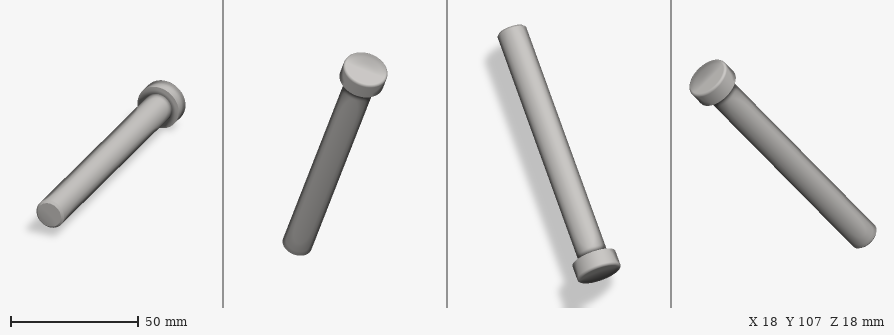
import cadquery as cq

total_length = 107.0
head_diameter = 18.0
head_length = 7.0
shank_diameter = 12.0
head_fillet = 1.0
tip_chamfer = 0.89

tip_y = -total_length / 2
head_end_y = total_length / 2
shoulder_y = head_end_y - head_length
shank_radius = shank_diameter / 2
head_radius = head_diameter / 2

half_section = (
    cq.Workplane("XY")
    .moveTo(0, tip_y)
    .lineTo(shank_radius - tip_chamfer, tip_y)
    .lineTo(shank_radius, tip_y + tip_chamfer)
    .lineTo(shank_radius, shoulder_y)
    .lineTo(head_radius, shoulder_y)
    .lineTo(head_radius, head_end_y - head_fillet)
    .radiusArc((head_radius - head_fillet, head_end_y), -head_fillet)
    .lineTo(0, head_end_y)
    .close()
)

result = half_section.revolve(360, (0, 0, 0), (0, 1, 0))